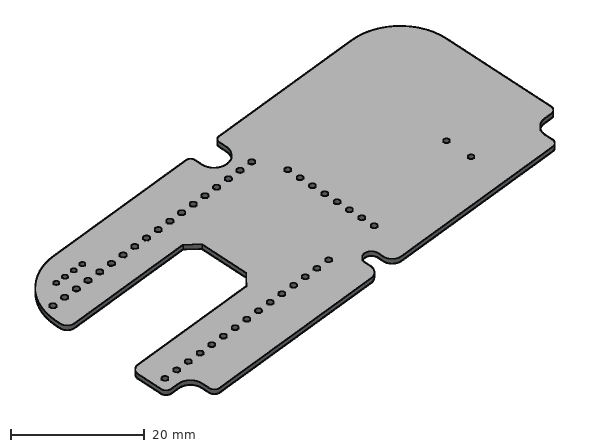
import cadquery as cq

WIDTH = 37.77
LENGTH = 84.77
THICKNESS = 1.0
RIGHT = WIDTH / 2
LEFT = -RIGHT
TOP = LENGTH / 2
BOTTOM = -TOP

LARGE_CORNER_RADIUS = 10.0

CORNER_STEP = 5.1
CORNER_STEP_RADIUS = 2.5
STEP_END_RADIUS = 1.1
STEP_SIDE_RADIUS = 1.1

LEFT_NOTCH_DEPTH = 5.0
LEFT_NOTCH_HEIGHT = 5.3
LEFT_NOTCH_MOUTH_RADIUS = 0.9

RIGHT_NOTCH_DEPTH = 4.45
RIGHT_NOTCH_HEIGHT = 2.8
RIGHT_NOTCH_MOUTH_RADIUS = 1.9

SLOT_WIDTH = 13.05
SLOT_DEPTH = 27.1
SLOT_CHAMFER = 2.0
SLOT_MOUTH_RADIUS = 1.5

PIN_PITCH = 2.54
COLUMN_BOTTOM_Y = -40.3
LEFT_COLUMN_X = -11.5
LEFT_COLUMN_COUNT = 18
LEFT_COLUMN_DIAMETER = 1.1
RIGHT_COLUMN_X = 11.53
RIGHT_COLUMN_COUNT = 15
RIGHT_COLUMN_DIAMETER = 1.05

ROW_START_X = -6.42
ROW_Y = 5.33
ROW_COUNT = 8
ROW_DIAMETER = 1.05

PAIR_START_X = 6.45
PAIR_Y = 26.2
PAIR_COUNT = 2
PAIR_PITCH = 2 * PIN_PITCH
PAIR_DIAMETER = 1.0

SMALL_COLUMN_X = -14.55
SMALL_COLUMN_BOTTOM_Y = -36.36
SMALL_COLUMN_COUNT = 4
SMALL_COLUMN_PITCH = 1.89
SMALL_COLUMN_DIAMETER = 0.91


def block(x_start, x_end, y_start, y_end):
    """Full-thickness rectangular block between two opposite corners."""
    return (
        cq.Workplane("XY")
        .center((x_start + x_end) / 2, (y_start + y_end) / 2)
        .rect(abs(x_end - x_start), abs(y_end - y_start))
        .extrude(THICKNESS)
    )


def discs(points, diameter):
    """Full-thickness cylinders centred on the given XY points."""
    return cq.Workplane("XY").pushPoints(points).circle(diameter / 2).extrude(THICKNESS)


def upright_edges(body, points):
    """Vertical edges of the body that pass through the given XY points."""
    selected = body.newObject([])
    for x, y in points:
        nearest = cq.selectors.NearestToPointSelector((x, y, THICKNESS / 2))
        selected = selected.add(body.edges("|Z").edges(nearest))
    return selected


def round_corners(body, points, radius):
    return upright_edges(body, points).fillet(radius)


def make_plate():
    """Rectangular plate with the two left-hand corners well rounded."""
    plate = block(LEFT, RIGHT, BOTTOM, TOP)
    return round_corners(plate, [(LEFT, TOP), (LEFT, BOTTOM)], LARGE_CORNER_RADIUS)


def cut_corner_step(body, end_y):
    """Square step in the right-hand corner at the board end end_y."""
    step_x = RIGHT - CORNER_STEP
    step_y = end_y - CORNER_STEP if end_y > 0 else end_y + CORNER_STEP
    body = body.cut(block(step_x, RIGHT, step_y, end_y))
    body = round_corners(body, [(step_x, step_y)], CORNER_STEP_RADIUS)
    body = round_corners(body, [(step_x, end_y)], STEP_END_RADIUS)
    return round_corners(body, [(RIGHT, step_y)], STEP_SIDE_RADIUS)


def cut_side_notch(body, edge_x, depth, height, mouth_radius):
    """Notch with a semicircular end, centred on Y = 0, in the side edge at edge_x."""
    half = height / 2
    straight = depth - half
    round_centre_x = edge_x - straight if edge_x > 0 else edge_x + straight
    notch = block(edge_x, round_centre_x, -half, half).union(discs([(round_centre_x, 0)], height))
    body = body.cut(notch)
    return round_corners(body, [(edge_x, -half), (edge_x, half)], mouth_radius)


def cut_bottom_slot(body):
    """Slot with chamfered inner corners and a rounded mouth."""
    half = SLOT_WIDTH / 2
    slot_top = BOTTOM + SLOT_DEPTH
    slot = block(-half, half, BOTTOM, slot_top)
    slot = upright_edges(slot, [(-half, slot_top), (half, slot_top)]).chamfer(SLOT_CHAMFER)
    body = body.cut(slot)
    return round_corners(body, [(-half, BOTTOM), (half, BOTTOM)], SLOT_MOUTH_RADIUS)


def drill_column(body, x, bottom_y, count, pitch, diameter):
    """Through holes spaced upward from bottom_y."""
    return body.cut(discs([(x, bottom_y + i * pitch) for i in range(count)], diameter))


def drill_row(body, start_x, y, count, pitch, diameter):
    """Through holes spaced to the right from start_x."""
    return body.cut(discs([(start_x + i * pitch, y) for i in range(count)], diameter))


board = make_plate()
for board_end in (TOP, BOTTOM):
    board = cut_corner_step(board, board_end)
board = cut_side_notch(board, LEFT, LEFT_NOTCH_DEPTH, LEFT_NOTCH_HEIGHT, LEFT_NOTCH_MOUTH_RADIUS)
board = cut_side_notch(board, RIGHT, RIGHT_NOTCH_DEPTH, RIGHT_NOTCH_HEIGHT, RIGHT_NOTCH_MOUTH_RADIUS)
board = cut_bottom_slot(board)

board = drill_column(
    board, LEFT_COLUMN_X, COLUMN_BOTTOM_Y, LEFT_COLUMN_COUNT, PIN_PITCH, LEFT_COLUMN_DIAMETER
)
board = drill_column(
    board, RIGHT_COLUMN_X, COLUMN_BOTTOM_Y, RIGHT_COLUMN_COUNT, PIN_PITCH, RIGHT_COLUMN_DIAMETER
)
board = drill_column(
    board,
    SMALL_COLUMN_X,
    SMALL_COLUMN_BOTTOM_Y,
    SMALL_COLUMN_COUNT,
    SMALL_COLUMN_PITCH,
    SMALL_COLUMN_DIAMETER,
)
board = drill_row(board, ROW_START_X, ROW_Y, ROW_COUNT, PIN_PITCH, ROW_DIAMETER)
board = drill_row(board, PAIR_START_X, PAIR_Y, PAIR_COUNT, PAIR_PITCH, PAIR_DIAMETER)

result = board